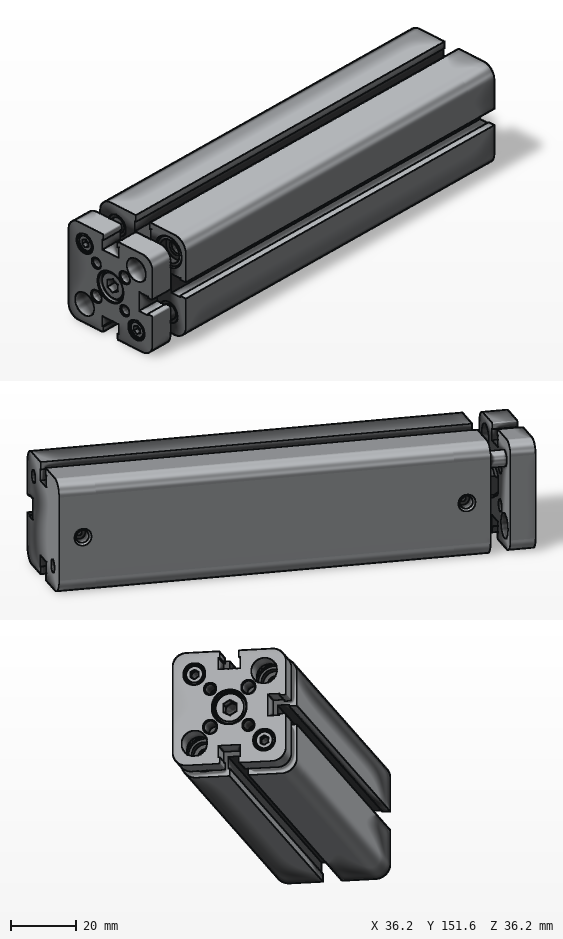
import cadquery as cq
import math

body_side = 36.2
body_corner_radius = 4.7
body_length = 137.2
cap_length = 11.7

plate_side = 35.5
plate_corner_radius = 4.2
overall_length = 151.6
plate_thickness = 8.0
plate_gap = overall_length - body_length - plate_thickness

slot_mouth_width = 5.9
slot_base_width = 6.8
slot_lip_depth = 2.5
slot_depth = 6.0
slot_mouth_radius = 0.5
slot_angles = (0, 90, 180)

corner_offset = 10.9
guide_corners = [(-corner_offset, corner_offset), (corner_offset, -corner_offset)]
screw_corners = [(corner_offset, corner_offset), (-corner_offset, -corner_offset)]

pin_diameter = 5.2
bushing_diameter = 7.5
bushing_recess_depth = 0.5

screw_recess_diameter = 10.9
screw_shoulder_diameter = 10.0
screw_shoulder_depth = 0.5
screw_seat_diameter = 8.0
screw_seat_depth = 3.0
screw_mouth_diameter = 5.0
screw_bore_diameter = 4.1

rod_diameter = 10.0
rod_flat_width = 8.0
rod_flat_start = 2.6
rod_tip_diameter = 9.1
rod_tip_length = 1.2

rod_screw_mouth = 11.0
rod_screw_hole = 10.5
rod_screw_head = 10.0
rod_screw_face = 8.8
rod_screw_recess = 0.9
rod_screw_socket = 4.2
rod_socket_depth = 3.8

pin_screw_mouth = 7.0
pin_screw_hole = 6.5
pin_screw_head = 6.0
pin_screw_face = 5.2
pin_screw_recess = 0.3
pin_screw_socket = 2.6
pin_socket_depth = 1.8

small_hole_offset = 5.99
dowel_mouth_diameter = 4.5
dowel_hole_diameter = 4.0
thread_diameter = 3.2
thread_mouth_diameter = 4.0

port_offset = 7.6
port_mouth_diameter = 5.5
port_bore_diameter = 4.1
port_bore_depth = 4.5
port_feed_diameter = 1.8
port_feed_depth = 6.8

body_front = 0.0
body_rear = body_front + body_length
plate_rear = body_front - plate_gap
plate_front = plate_rear - plate_thickness


def section(y):
    """Sketch plane at station y: local x is X, local y is Z, extrusion by -length runs towards +Y."""
    return cq.Workplane(cq.Plane(origin=(0, y, 0), xDir=(1, 0, 0), normal=(0, -1, 0)))


def rounded_bar(side, radius, y, length):
    return section(y).rect(side, side).extrude(-length).edges("|Y").fillet(radius)


def cylinder(center, diameter, y, length):
    return section(y).center(*center).circle(diameter / 2).extrude(-length)


def cone(center, front_diameter, rear_diameter, y, length):
    x, z = center
    solid = cq.Solid.makeCone(
        front_diameter / 2, rear_diameter / 2, length, cq.Vector(x, y, z), cq.Vector(0, 1, 0)
    )
    return cq.Workplane(obj=solid)


def chamfered_hole(center, mouth_diameter, diameter, y, length):
    """Cutter for a round hole with a 45 degree chamfer at its front end."""
    chamfer = (mouth_diameter - diameter) / 2
    return cylinder(center, diameter, y, length).union(cone(center, mouth_diameter, diameter, y, chamfer))


def slot_cutter(side, y, length):
    """Cutter for the +Z T-slot of a bar; all slot heights are set from the body's outer side."""
    floor = body_side / 2 - slot_depth
    lip = body_side / 2 - slot_lip_depth
    mouth = section(y).center(0, (floor + side / 2) / 2).rect(slot_mouth_width, side / 2 - floor)
    base = section(y).center(0, (floor + lip) / 2).rect(slot_base_width, lip - floor)
    return mouth.extrude(-length).union(base.extrude(-length))


def cut_slots(solid, cutter):
    for angle in slot_angles:
        solid = solid.cut(cutter.rotate((0, 0, 0), (0, 1, 0), angle), clean=False)
    return solid


def mouth_flare(side, y, length):
    """Cutter that rounds both outer edges of a slot mouth."""
    top = side / 2
    inner = slot_mouth_width / 2
    outer = inner + slot_mouth_radius
    profile = (
        section(y)
        .moveTo(-outer, top)
        .radiusArc((-inner, top - slot_mouth_radius), slot_mouth_radius)
        .lineTo(inner, top - slot_mouth_radius)
        .radiusArc((outer, top), slot_mouth_radius)
        .close()
    )
    return profile.extrude(-length)


def port_cutter(y):
    """Chamfered port on the -X side with a narrow feed hole at its bottom."""
    face = cq.Workplane(cq.Plane(origin=(-body_side / 2, y, 0), xDir=(0, 1, 0), normal=(1, 0, 0)))
    bore = face.circle(port_bore_diameter / 2).extrude(port_bore_depth)
    feed = face.circle(port_feed_diameter / 2).extrude(port_feed_depth)
    chamfer = (port_mouth_diameter - port_bore_diameter) / 2
    mouth = cq.Solid.makeCone(
        port_mouth_diameter / 2, port_bore_diameter / 2, chamfer,
        cq.Vector(-body_side / 2, y, 0), cq.Vector(1, 0, 0),
    )
    return bore.union(feed).union(cq.Workplane(obj=mouth))


def cut_screw_hole(body, corner):
    """Chamfered shoulder, deep screw seat and chamfered through bore."""
    body = body.cut(cylinder(corner, screw_bore_diameter, body_front, body_length), clean=False)
    body = body.cut(
        cone(corner, screw_recess_diameter, screw_shoulder_diameter, body_front, screw_shoulder_depth),
        clean=False,
    )
    body = body.cut(cylinder(corner, screw_seat_diameter, body_front, screw_seat_depth), clean=False)
    bore_start = body_front + screw_seat_depth
    bore_mouth = chamfered_hole(
        corner, screw_mouth_diameter, screw_bore_diameter, bore_start, screw_mouth_diameter
    )
    return body.cut(bore_mouth, clean=False)


def main_body():
    """Tube and two end caps whose joints stay as separate faces, hence no face merging."""
    body = rounded_bar(body_side, body_corner_radius, body_front, cap_length)
    tube_length = body_length - 2 * cap_length
    for y, length in ((body_front + cap_length, tube_length), (body_rear - cap_length, cap_length)):
        body = body.union(rounded_bar(body_side, body_corner_radius, y, length), clean=False)
    body = cut_slots(body, slot_cutter(body_side, body_front, body_length))
    for corner in screw_corners:
        body = cut_screw_hole(body, corner)
    for corner in guide_corners:
        recess = cylinder(corner, bushing_diameter, body_front, bushing_recess_depth)
        body = body.cut(recess, clean=False)
    for y in (body_front + port_offset, body_rear - port_offset):
        body = body.cut(port_cutter(y), clean=False)
    return body


def guide_pin(corner):
    return cylinder(corner, pin_diameter, plate_rear, plate_gap + bushing_recess_depth)


def piston_rod():
    rod = cylinder((0, 0), rod_diameter, plate_rear + rod_tip_length, plate_gap - rod_tip_length)
    rod = rod.union(cone((0, 0), rod_tip_diameter, rod_diameter, plate_rear, rod_tip_length))
    ramp = (rod_diameter - rod_flat_width) / 2
    flat_end = body_front - rod_flat_start
    profile = [
        (-rod_flat_width / 2, plate_rear),
        (-rod_flat_width / 2, flat_end - ramp),
        (-rod_diameter / 2, flat_end),
        (-rod_diameter / 2, plate_rear),
    ]
    flat = cq.Workplane("XY").polyline(profile).close().extrude(rod_diameter / 2, both=True)
    return rod.cut(flat).cut(flat.mirror("YZ"))


def sink_screw(plate, center, mouth, hole, head, face, recess, socket, socket_depth):
    """Ring-shaped gap around a chamfered screw head with a hexagon socket and a drilled point."""
    chamfer = (head - face) / 2
    head_front = plate_front + recess
    gap_depth = recess + 2 * chamfer
    plate = plate.cut(chamfered_hole(center, mouth, hole, plate_front, gap_depth))
    plate = plate.union(cone(center, face, head, head_front, chamfer))
    plate = plate.union(cylinder(center, head, head_front + chamfer, chamfer))
    corner_diameter = socket / math.cos(math.pi / 6)
    hexagon = section(head_front).center(*center).transformed(rotate=(0, 0, 30))
    plate = plate.cut(hexagon.polygon(6, corner_diameter).extrude(-socket_depth))
    point_length = socket / 2 * math.tan(math.pi / 6)
    return plate.cut(cone(center, socket, 0, head_front + socket_depth, point_length))


def drill_small_holes(plate):
    """Two dowel holes on one diagonal and two threaded holes on the other."""
    for x in (-small_hole_offset, small_hole_offset):
        dowel = chamfered_hole(
            (x, x), dowel_mouth_diameter, dowel_hole_diameter, plate_front, plate_thickness
        )
        thread = chamfered_hole(
            (x, -x), thread_mouth_diameter, thread_diameter, plate_front, plate_thickness
        )
        plate = plate.cut(dowel).cut(thread)
    return plate


def front_plate():
    plate = rounded_bar(plate_side, plate_corner_radius, plate_front, plate_thickness)
    slot = slot_cutter(plate_side, plate_front, plate_thickness)
    plate = cut_slots(plate, slot.union(mouth_flare(plate_side, plate_front, plate_thickness)))
    for corner in screw_corners:
        plate = plate.cut(cylinder(corner, screw_seat_diameter, plate_front, plate_thickness))
    plate = drill_small_holes(plate)
    plate = sink_screw(
        plate, (0, 0), rod_screw_mouth, rod_screw_hole, rod_screw_head, rod_screw_face,
        rod_screw_recess, rod_screw_socket, rod_socket_depth,
    )
    for corner in guide_corners:
        plate = sink_screw(
            plate, corner, pin_screw_mouth, pin_screw_hole, pin_screw_head, pin_screw_face,
            pin_screw_recess, pin_screw_socket, pin_socket_depth,
        )
    return plate


result = main_body().union(piston_rod(), clean=False).union(front_plate(), clean=False)
for pin_corner in guide_corners:
    result = result.union(guide_pin(pin_corner), clean=False)